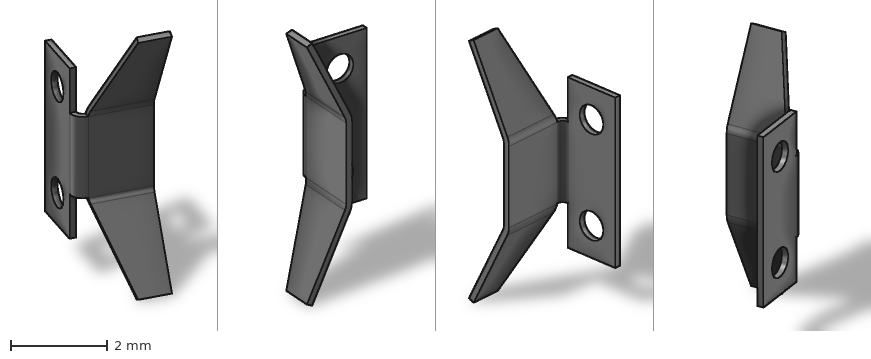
import cadquery as cq
import math

thickness = 0.15
height = 6.15
depth = 1.78

plate_width = 1.35
plate_height = 3.99
hole_diameter = 0.665
hole_spacing = 2.485

web_height = 1.905
bend_inner_radius = 0.15
bend_outer_radius = bend_inner_radius + thickness

wing_angle = math.radians(26.5)
wing_inner_radius = 0.295
wing_outer_radius = wing_inner_radius + thickness
wing_tip_width = 0.74

web_outer_x = plate_width + bend_outer_radius
web_inner_x = web_outer_x - thickness


def mounting_plate():
    """Flat plate with its front face on Y = 0 and two through holes."""
    plate = cq.Workplane("XY").box(
        plate_width, thickness, plate_height, centered=(False, False, True)
    )
    holes = (
        cq.Workplane("XZ")
        .pushPoints([(plate_width / 2, side * hole_spacing / 2) for side in (-1, 1)])
        .circle(hole_diameter / 2)
        .extrude(-thickness)
    )
    return plate.cut(holes)


def bend_and_web():
    """Quarter-round bend off the plate, continued by the flat web along Y."""
    diagonal = math.sqrt(0.5)
    outer_mid = (
        plate_width + bend_outer_radius * diagonal,
        bend_outer_radius * (1 - diagonal),
    )
    inner_mid = (
        plate_width + bend_inner_radius * diagonal,
        bend_outer_radius - bend_inner_radius * diagonal,
    )
    return (
        cq.Workplane("XY")
        .workplane(offset=-web_height / 2)
        .moveTo(plate_width, 0)
        .threePointArc(outer_mid, (web_outer_x, bend_outer_radius))
        .lineTo(web_outer_x, depth)
        .lineTo(web_inner_x, depth)
        .lineTo(web_inner_x, bend_outer_radius)
        .threePointArc(inner_mid, (plate_width, thickness))
        .close()
        .extrude(web_height)
    )


def upper_wing():
    """Wing bent towards +X above the web, tapering towards its tip."""
    center_x = web_outer_x + wing_inner_radius
    start_z = web_height / 2

    def on_bend(radius, angle):
        return (center_x - radius * math.cos(angle), start_z + radius * math.sin(angle))

    outer_end = on_bend(wing_outer_radius, wing_angle)
    inner_end = on_bend(wing_inner_radius, wing_angle)
    tip_z = height / 2
    tip_x = outer_end[0] + (tip_z - outer_end[1]) * math.tan(wing_angle)
    tip_inner = (
        tip_x + thickness * math.cos(wing_angle),
        tip_z - thickness * math.sin(wing_angle),
    )
    strip = (
        cq.Workplane("XZ")
        .moveTo(web_inner_x, start_z)
        .threePointArc(on_bend(wing_outer_radius, wing_angle / 2), outer_end)
        .lineTo(tip_x, tip_z)
        .lineTo(*tip_inner)
        .lineTo(*inner_end)
        .threePointArc(on_bend(wing_inner_radius, wing_angle / 2), (web_outer_x, start_z))
        .close()
        .extrude(-depth)
    )
    taper = (
        cq.Workplane("YZ")
        .polyline([
            (bend_outer_radius, start_z),
            (depth, start_z),
            (depth, tip_z),
            (depth - wing_tip_width, tip_z),
        ])
        .close()
        .extrude(2 * tip_x)
    )
    return strip.intersect(taper)


wing = upper_wing()
result = mounting_plate().union(bend_and_web()).union(wing).union(wing.mirror("XY"))